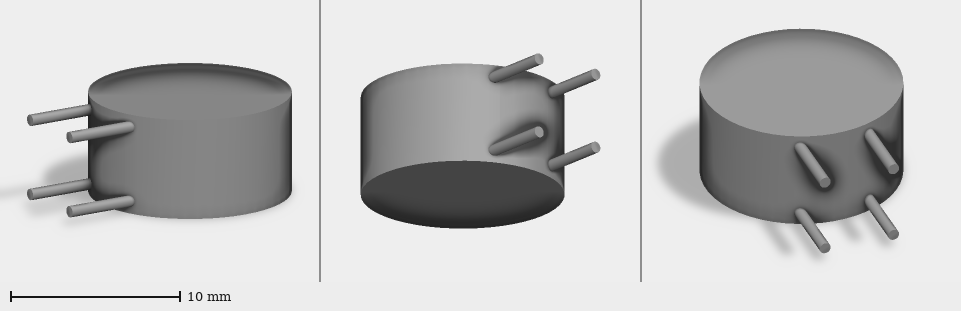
import cadquery as cq

total_length = 15.87
housing_diameter = 12.06
housing_height = 6.1

lead_diameter = 0.68
lead_spacing_x = 4.32
lead_spacing_z = 4.57
leads_per_side = 2

housing_radius = housing_diameter / 2
lead_reach = total_length - housing_radius


def make_housing():
    """Plain upright cylinder."""
    return cq.Workplane("XY").cylinder(housing_height, housing_radius)


def make_leads():
    """Round leads from the mid-plane of the housing to their tips on the -Y side."""
    return (
        cq.Workplane("XZ")
        .rarray(lead_spacing_x, lead_spacing_z, leads_per_side, leads_per_side)
        .circle(lead_diameter / 2)
        .extrude(lead_reach)
    )


leaded_housing = make_housing().union(make_leads())

result = cq.Compound.makeCompound([leaded_housing.val()])